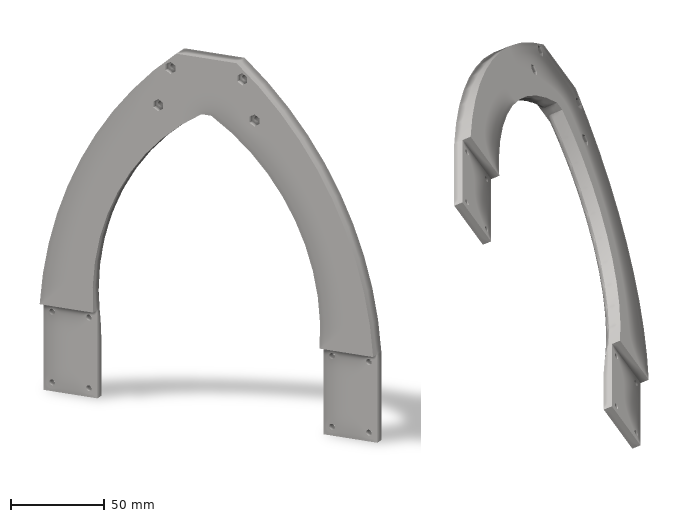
import cadquery as cq
import math

width = 199.0
height = 204.0
thickness = 10.0
half_width = width / 2

leg_width = 32.0
leg_height = 50.0
leg_thickness = thickness / 2
leg_inner_x = half_width - leg_width

crown_flat = 36.0
outer_radius = 214.3

crown_depth = 32.0
inner_radius = 129.0
inner_center_z = 60.0
inner_fillet = 3.0

hole_diameter = 3.3
leg_hole_margin = 5.0

crown_hole_points = [(21.4, 195.4), (28.7, 173.2)]
nut_across_flats = 5.9
nut_across_corners = nut_across_flats / math.cos(math.pi / 6)
nut_pocket_depth = 3.0


def front_plane():
    """Sketch plane on the front face: local x is X, local y is Z, and extrusion runs to -Y."""
    return cq.Workplane("XZ")


def bulge_point(start, end, radius):
    """Middle point of the arc from start to end that bows to the left of its direction."""
    dx = end[0] - start[0]
    dz = end[1] - start[1]
    chord = math.hypot(dx, dz)
    sagitta = radius - math.sqrt(radius**2 - (chord / 2) ** 2)
    mid_x = (start[0] + end[0]) / 2
    mid_z = (start[1] + end[1]) / 2
    return (mid_x - dz / chord * sagitta, mid_z + dx / chord * sagitta)


def outer_arch():
    """Solid bounded by the outer outline, before the opening is removed."""
    left_spring = (-half_width, leg_height)
    left_top = (-crown_flat / 2, height)
    right_top = (crown_flat / 2, height)
    right_spring = (half_width, leg_height)
    return (
        front_plane()
        .moveTo(-half_width, 0)
        .lineTo(*left_spring)
        .threePointArc(bulge_point(left_spring, left_top, outer_radius), left_top)
        .lineTo(*right_top)
        .threePointArc(bulge_point(right_top, right_spring, outer_radius), right_spring)
        .lineTo(half_width, 0)
        .close()
        .extrude(-thickness)
    )


def standing_block(block_width, depth, block_height):
    """Block centred on X = 0, standing on Z = 0 and reaching back from the front face."""
    return cq.Workplane("XY").box(block_width, depth, block_height, centered=(True, False, False))


def inner_disc(side):
    """Disc whose rim cuts the inner flank on the given side (+1 for +X, -1 for -X).

    The rim flares out at the back face, which rounds the back edge of the flank.
    """
    rise = inner_center_z - leg_height
    center_x = leg_inner_x - math.sqrt(inner_radius**2 - rise**2)
    flare_start = (inner_radius, thickness - inner_fillet)
    flare_middle = (
        inner_radius + inner_fillet * (1 - math.cos(math.pi / 4)),
        thickness - inner_fillet * (1 - math.sin(math.pi / 4)),
    )
    flare_end = (inner_radius + inner_fillet, thickness)
    disc = (
        cq.Workplane("XY")
        .lineTo(inner_radius, 0)
        .lineTo(*flare_start)
        .threePointArc(flare_middle, flare_end)
        .lineTo(0, thickness)
        .close()
        .revolve(360, (0, 0, 0), (0, 1, 0))
    )
    return disc.translate((side * center_x, 0, inner_center_z))


def opening():
    """Pointed opening between the flanks, cut flat at its tip, and the slot between the legs."""
    tip_limit = standing_block(width, thickness, height - crown_depth)
    pointed = inner_disc(1).intersect(inner_disc(-1)).intersect(tip_limit)
    leg_gap = standing_block(2 * leg_inner_x, thickness, leg_height)
    return pointed.union(leg_gap)


def leg_step():
    """Material removed from the front of both legs."""
    return standing_block(width, thickness - leg_thickness, leg_height)


def leg_holes():
    """Through holes at the corners of both legs."""
    hole_xs = (leg_inner_x + leg_hole_margin, half_width - leg_hole_margin)
    hole_zs = (leg_hole_margin, leg_height - leg_hole_margin)
    points = [(side * x, z) for side in (-1, 1) for x in hole_xs for z in hole_zs]
    return front_plane().pushPoints(points).circle(hole_diameter / 2).extrude(-thickness)


def crown_holes():
    """Through holes in the crown with hexagonal pockets whose corners point up and down."""
    points = [(side * x, z) for side in (-1, 1) for x, z in crown_hole_points]
    holes = front_plane().pushPoints(points).circle(hole_diameter / 2).extrude(-thickness)
    for x, z in points:
        pocket = (
            front_plane()
            .center(x, z)
            .transformed(rotate=(0, 0, 90))
            .polygon(6, nut_across_corners)
            .extrude(-nut_pocket_depth)
        )
        holes = holes.union(pocket)
    return holes


result = outer_arch().cut(opening()).cut(leg_step()).cut(leg_holes()).cut(crown_holes())